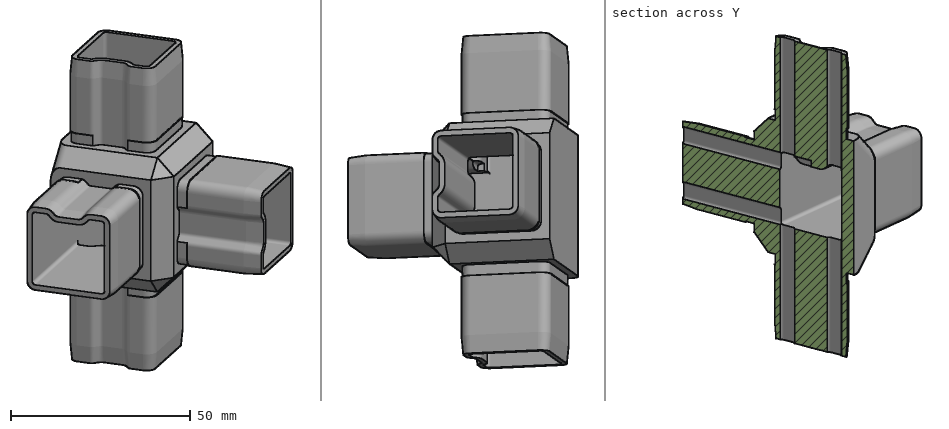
import cadquery as cq
import math

REACH = 45.0
HUB_HALF = 15.0
HUB_REACH = 20.0
HUB_CHAMFER = HUB_REACH - HUB_HALF
HUB_ROUND = 3.1

PLUG_HALF = 12.9
PLUG_ROUND = 3.1
WALL = 2.1
RELIEF_LENGTH = 3.1
RELIEF_DEPTH = 0.3
LEAD_LENGTH = 5.0
LEAD_INSET = 0.5

GROOVE_DEPTH = 2.0
GROOVE_MOUTH_HALF = 5.4
GROOVE_FLOOR_RADIUS = 1.3
LIP_RADIUS = 1.5
WIDE_LIP_RADIUS = 3.5
BORE_LIP_RADIUS = 1.0
FLANK_TURN = math.radians(45)

PLUGS = [
    (cq.Vector(0, 0, 1), cq.Vector(0, -1, 0), LIP_RADIUS),
    (cq.Vector(0, 0, -1), cq.Vector(0, -1, 0), LIP_RADIUS),
    (cq.Vector(1, 0, 0), cq.Vector(0, -1, 0), LIP_RADIUS),
    (cq.Vector(0, -1, 0), cq.Vector(0, 0, 1), WIDE_LIP_RADIUS),
]


def rounded_outline(plane, corners):
    """Closed wire through (x, y, radius) corners, each rounded by a tangent arc."""
    arcs = []
    for i, (x, y, radius) in enumerate(corners):
        corner = cq.Vector(x, y)
        before = cq.Vector(*corners[i - 1][:2])
        after = cq.Vector(*corners[(i + 1) % len(corners)][:2])
        back = (before - corner).normalized()
        ahead = (after - corner).normalized()
        half_angle = back.getAngle(ahead) / 2
        tangent_length = radius / math.tan(half_angle)
        crown = radius / math.sin(half_angle) - radius
        middle = corner + (back + ahead).normalized() * crown
        points = (corner + back * tangent_length, middle, corner + ahead * tangent_length)
        arcs.append([point.toTuple()[:2] for point in points])

    outline = cq.Workplane(plane).moveTo(*arcs[0][0]).threePointArc(*arcs[0][1:])
    for start, middle, end in arcs[1:]:
        outline = outline.lineTo(*start).threePointArc(middle, end)
    return outline.close()


def plug_outline(plane, inset, lip_radius):
    """Grooved square, moved inwards by the inset; the groove lies on the +y side."""
    half = PLUG_HALF - inset
    corner_radius = PLUG_ROUND - inset
    mouth = GROOVE_MOUTH_HALF + inset * math.tan(FLANK_TURN / 2)
    floor_half = mouth - GROOVE_DEPTH / math.tan(FLANK_TURN)
    floor_radius = GROOVE_FLOOR_RADIUS + inset
    right_side = [
        (half, -half, corner_radius),
        (half, half, corner_radius),
        (mouth, half, lip_radius),
        (floor_half, half - GROOVE_DEPTH, floor_radius),
    ]
    left_side = [(-x, y, radius) for x, y, radius in reversed(right_side)]
    return rounded_outline(plane, right_side + left_side)


def plane_at(distance, axis, groove_side):
    """Plane square to a plug axis, with its y axis towards the grooved side."""
    return cq.Plane(origin=axis * distance, xDir=groove_side.cross(axis), normal=axis)


def plug(axis, groove_side, lip_radius):
    relief_end = HUB_REACH + RELIEF_LENGTH
    lead_start = REACH - LEAD_LENGTH

    root_plane = plane_at(HUB_HALF, axis, groove_side)
    stem = plug_outline(root_plane, 0, lip_radius).extrude(lead_start - HUB_HALF)

    root_length = relief_end - HUB_HALF
    relief_width = 2 * (PLUG_HALF - RELIEF_DEPTH)
    kept = (
        cq.Workplane(root_plane).rect(relief_width, relief_width).extrude(root_length)
        .edges(cq.selectors.ParallelDirSelector(axis)).fillet(PLUG_ROUND - RELIEF_DEPTH)
    )
    sleeve = cq.Workplane(root_plane).rect(2 * PLUG_HALF, 2 * PLUG_HALF).extrude(root_length).cut(kept)

    lead_base = plug_outline(plane_at(lead_start, axis, groove_side), 0, lip_radius)
    lead_tip = plug_outline(plane_at(REACH, axis, groove_side), LEAD_INSET, lip_radius - LEAD_INSET)
    lead = cq.Workplane(cq.Solid.makeLoft([lead_base.val(), lead_tip.val()], True))
    return stem.cut(sleeve).union(lead)


def bore(axis, groove_side):
    """Grooved passage from the hub centre out through the plug."""
    return plug_outline(plane_at(0, axis, groove_side), WALL, BORE_LIP_RADIUS).extrude(REACH)


def hub():
    block = (
        cq.Workplane("XY")
        .box(HUB_HALF + HUB_REACH, HUB_HALF + HUB_REACH, 2 * HUB_REACH)
        .translate((HUB_CHAMFER / 2, -HUB_CHAMFER / 2, 0))
    )
    between_plugs = "(>X and <Y) or (>X and (>Z or <Z)) or (<Y and (>Z or <Z))"
    block = block.edges(between_plugs).chamfer(HUB_CHAMFER)
    block = block.edges("|Z and <X and >Y").fillet(HUB_ROUND)
    return block.faces("<X").edges("not (|Y or |Z)").fillet(HUB_ROUND)


result = hub()
for axis, groove_side, lip_radius in PLUGS:
    result = result.union(plug(axis, groove_side, lip_radius))
for axis, groove_side, _ in PLUGS:
    result = result.cut(bore(axis, groove_side))